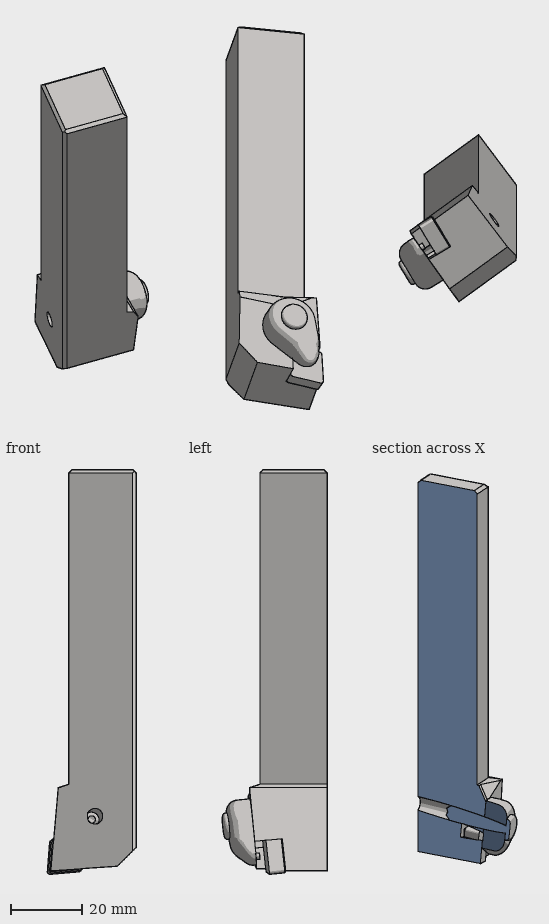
import cadquery as cq
import math

top_height = 114.0
shank_width = 19.0
top_chamfer = 0.9
corner_chamfer = 1.0

shoulder_height = 25.4
shoulder_slope = 0.33
shoulder_reach = 3.0
head_corner = (-5.0, 1.0)
heel_start = (13.7, 2.3)
head_depth = 25.1

seat_point = (shank_width, 22.6, 24.5)
seat_lean_x = 0.03
seat_lean_z = 0.095

notch_low = (5.5, 19.5)
notch_left = (0.0, 21.3)
notch_right = (shank_width, 21.0)
notch_steepness = 2.0

insert_side = 9.7
insert_thickness = 4.7
insert_angle = 80.0
corner_radius = 0.8
edge_chamfer = 0.3
approach_angle = 5.0
insert_corner = (-6.11, 16.24, -0.08)
rake_lean = 0.1

pocket_lead = 4.6
pocket_clearance = 13.7
relief_radius = 2.7

screw_foot = (7.4, 0.0, 16.4)
boss_radius = 7.1
arm_radius = 3.4
arm_offset = (-5.5, -8.2)
clamp_start = 18.7
clamp_top = 28.3
dome_round = 3.2
slope_start = 6.0
tip_depth = 23.6
slope_round = 1.7
pad_offset = (-5.6, -9.2)
pad_radius = 0.9
pad_start = 20.7
pad_end = 23.2

screw_radius = 2.2
screw_start = 9.1
screw_end_radius = 1.0
dimple_depth = 0.5
head_radius = 3.8
head_height = 1.3
head_round = 0.9

cut_size = 68.4

front_normal = cq.Vector(rake_lean, -1, rake_lean).normalized()
front_faces = cq.selectors.DirectionMinMaxSelector(front_normal)
back_faces = cq.selectors.DirectionMinMaxSelector(-front_normal)


def tilted_plane(origin):
    """A plane parallel to the insert: local x runs close to X, local y close to Z."""
    return cq.Plane(origin=origin, xDir=(1, rake_lean, 0), normal=front_normal)


screw_plane = tilted_plane(screw_foot)


def half_space(point, normal):
    """A large block on the side of a plane that its normal points to."""
    plane = cq.Plane(origin=point, normal=normal)
    return cq.Workplane(plane).rect(2 * cut_size, 2 * cut_size).extrude(cut_size)


def behind_seat():
    """Everything behind the sloping seat face of the head."""
    return half_space(seat_point, (-seat_lean_x, 1, -seat_lean_z))



def rhombus(lead):
    """Corners of the insert outline; lead moves the two cutting sides outwards."""
    low_angle = math.radians(approach_angle)
    high_angle = math.radians(approach_angle + insert_angle)

    def corner(low, high):
        return (
            low * math.cos(low_angle) + high * math.cos(high_angle),
            low * math.sin(low_angle) + high * math.sin(high_angle),
        )

    return [
        corner(-lead, -lead),
        corner(insert_side, -lead),
        corner(insert_side, insert_side),
        corner(-lead, insert_side),
    ]


def make_insert():
    plane = tilted_plane(insert_corner)
    body = cq.Workplane(plane).polyline(rhombus(0)).close().extrude(insert_thickness)
    body = body.edges(cq.selectors.ParallelDirSelector(front_normal)).fillet(corner_radius)
    return body.faces(front_faces).chamfer(edge_chamfer)



def insert_pocket():
    """The insert seat, open at the cutting sides and at the back, with a relieved inner corner."""
    outline = rhombus(pocket_lead)
    inner_corner = outline[2]
    floor = cq.Workplane(tilted_plane(insert_corner)).workplane(offset=insert_thickness)
    depth = insert_thickness + pocket_clearance
    pocket = floor.polyline(outline).close().extrude(-depth)
    relief = floor.center(*inner_corner).circle(relief_radius).extrude(-depth)
    return pocket.union(relief)


def notch_side(end):
    """Everything above the steep plane through the bottom of the V and one of its ends."""
    def on_shoulder(spot):
        x, y = spot
        return cq.Vector(x, y, shoulder_height - shoulder_slope * (y - shank_width))

    low = on_shoulder(notch_low)
    along = on_shoulder(end) - low
    normal = along.cross(cq.Vector(0, 1, -notch_steepness))
    if normal.z < 0:
        normal = -normal
    return half_space(low, normal)


def shoulder_notch():
    return notch_side(notch_left).intersect(notch_side(notch_right))


def make_shank():
    length = top_height - shoulder_height
    bar = cq.Workplane("XY").box(shank_width, shank_width, length, centered=False)
    return bar.translate((0, 0, shoulder_height)).faces(">Z").chamfer(top_chamfer)


def make_head():
    heel_height = heel_start[1] + shank_width - heel_start[0]
    outline = [
        (0, shoulder_height),
        (-shoulder_reach, shoulder_height - shoulder_slope * shoulder_reach),
        head_corner,
        heel_start,
        (shank_width, heel_height),
        (shank_width, shoulder_height),
    ]
    head = cq.Workplane("XZ").polyline(outline).close().extrude(-head_depth)
    back_shoulder = half_space((0, shank_width, shoulder_height), (0, shoulder_slope, 1))
    return head.cut(back_shoulder).cut(behind_seat()).cut(shoulder_notch())


def make_holder():
    edge_cut = (
        cq.Workplane("XY")
        .moveTo(shank_width, 0)
        .lineTo(shank_width, corner_chamfer)
        .lineTo(shank_width - corner_chamfer, 0)
        .close()
        .extrude(top_height)
    )
    bore = cq.Workplane(screw_plane).circle(screw_radius).extrude(2 * head_depth, both=True)
    return make_head().union(make_shank()).cut(edge_cut).cut(bore).cut(insert_pocket())



def make_screw():
    """Revolved about its axis: a coned end with a dimple, a plain body and a round head."""
    section = cq.Plane(origin=screw_foot, xDir=screw_plane.xDir, normal=screw_plane.yDir)
    screw = (
        cq.Workplane(section)
        .moveTo(0, screw_start + dimple_depth)
        .lineTo(screw_end_radius, screw_start)
        .lineTo(screw_radius, screw_start + screw_radius - screw_end_radius)
        .lineTo(screw_radius, clamp_top)
        .lineTo(head_radius, clamp_top)
        .lineTo(head_radius, clamp_top + head_height)
        .lineTo(0, clamp_top + head_height)
        .close()
        .revolve(360, (0, 0, 0), (0, 1, 0))
    )
    return screw.faces(back_faces).edges().fillet(head_round)



arm_length = math.hypot(*arm_offset)
arm_x = arm_offset[0] / arm_length
arm_y = arm_offset[1] / arm_length


def across_arm(along, aside):
    """A local point given by its distances along the arm and to the side of it."""
    return (along * arm_x - aside * arm_y, along * arm_y + aside * arm_x)


def clamp_block():
    """Boss and arm end joined by their two common tangents, with a rounded top."""
    lean = (boss_radius - arm_radius) / arm_length
    spread = math.sqrt(1 - lean**2)
    boss_along, boss_aside = boss_radius * lean, boss_radius * spread
    end_along, end_aside = arm_length + arm_radius * lean, arm_radius * spread
    block = (
        cq.Workplane(screw_plane)
        .workplane(offset=-clamp_start)
        .moveTo(*across_arm(boss_along, boss_aside))
        .lineTo(*across_arm(end_along, end_aside))
        .threePointArc(across_arm(arm_length + arm_radius, 0), across_arm(end_along, -end_aside))
        .lineTo(*across_arm(boss_along, -boss_aside))
        .threePointArc(across_arm(-boss_radius, 0), across_arm(boss_along, boss_aside))
        .close()
        .extrude(clamp_start - clamp_top)
    )
    return block.faces(back_faces).edges().fillet(dome_round)


def slope_arm(block):
    """Slope the top of the arm down to its tip and round the edge of the slope."""
    arm_direction = screw_plane.xDir * arm_x + screw_plane.yDir * arm_y
    run = arm_length + arm_radius - slope_start
    drop = clamp_top - tip_depth
    slope_normal = arm_direction * drop - front_normal * run
    start = screw_plane.origin + arm_direction * slope_start - front_normal * clamp_top
    sloped = block.cut(half_space(start, slope_normal))
    slope_face = sloped.faces(cq.selectors.DirectionMinMaxSelector(slope_normal))
    return slope_face.edges().fillet(slope_round)


def make_clamp(screw):
    body = slope_arm(clamp_block()).intersect(behind_seat())
    pad = (
        cq.Workplane(screw_plane)
        .workplane(offset=-pad_start)
        .center(*pad_offset)
        .circle(pad_radius)
        .extrude(pad_start - pad_end)
    )
    return body.union(pad).cut(screw)


holder = make_holder()
insert = make_insert()
screw = make_screw()
clamp = make_clamp(screw)
result = cq.Compound.makeCompound([
    holder.solids().val(),
    insert.solids().val(),
    clamp.solids().val(),
    screw.solids().val(),
])